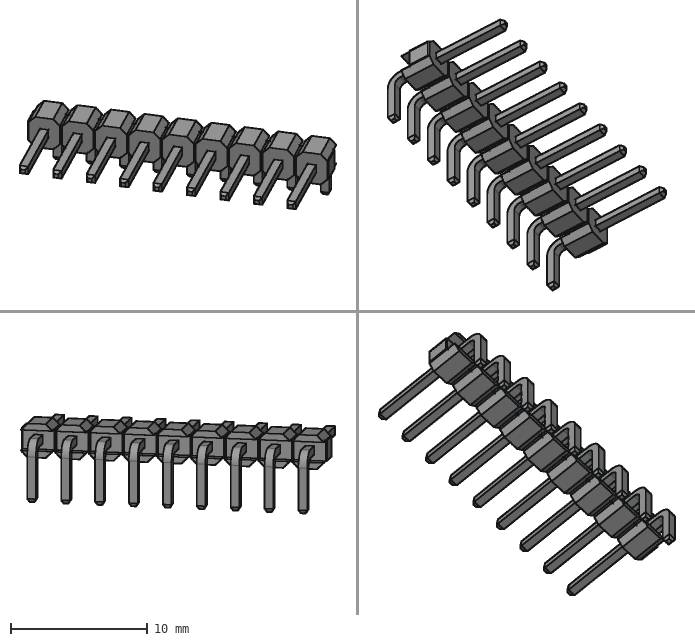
import cadquery as cq

pin_count = 9
pitch = 2.54
strip_length = pin_count * pitch
pin_positions = [(index - (pin_count - 1) / 2) * pitch for index in range(pin_count)]

housing_height = 2.54
housing_depth = 2.54
block_width = 2.37
corner_chamfer = 0.50
side_height = housing_height - 2 * corner_chamfer
channel_depth = 0.72
groove_depth = (pitch - block_width) / 2
groove_bevel = 0.09

pin_width = 0.65
front_length = 6.0
rear_reach = 1.81
drop_below_housing = 3.0
bend_inner_radius = 0.50
bend_radius = bend_inner_radius + pin_width / 2
tip_length = 0.28
tip_inset = pin_width / 4

pin_tip_y = -front_length
pin_leg_y = housing_depth + rear_reach - pin_width / 2
pin_tip_z = -housing_height / 2 - drop_below_housing


def octagonal_block(x):
    """One pin's block, an octagonal prism running along Y."""
    return (
        cq.Workplane("XY")
        .box(block_width, housing_depth, housing_height, centered=(True, False, True))
        .edges("|Y")
        .chamfer(corner_chamfer)
        .translate((x, 0, 0))
    )


def joining_web(x):
    """Full-pitch core that joins a block to its neighbours, bevelled at its four vertical edges."""
    return (
        cq.Workplane("XY")
        .box(pitch, housing_depth - channel_depth, side_height, centered=(True, False, True))
        .edges("|Z")
        .chamfer(groove_bevel, groove_depth)
        .translate((x, 0, 0))
    )


def pin_path(x):
    """Centre line of a pin: along +Y through the housing, then a bend down to the leg."""
    return (
        cq.Workplane("YZ", origin=(x, 0, 0))
        .moveTo(pin_tip_y, 0)
        .lineTo(pin_leg_y - bend_radius, 0)
        .tangentArcPoint((pin_leg_y, -bend_radius), relative=False)
        .lineTo(pin_leg_y, pin_tip_z)
    )


def make_pin(x):
    """Square bent pin with tapered tips at both ends."""
    return (
        cq.Workplane("XZ", origin=(x, pin_tip_y, 0))
        .rect(pin_width, pin_width)
        .sweep(pin_path(x))
        .faces("<Y or <Z")
        .chamfer(tip_length, tip_inset)
    )


def make_housing():
    """Row of joined blocks with a rear channel and a square hole for each pin."""
    body = octagonal_block(pin_positions[0]).union(joining_web(pin_positions[0]))
    for x in pin_positions[1:]:
        body = body.union(octagonal_block(x)).union(joining_web(x))
    channel = (
        cq.Workplane("XY")
        .box(strip_length, channel_depth, side_height, centered=(True, False, True))
        .translate((0, housing_depth - channel_depth, 0))
    )
    pin_holes = (
        cq.Workplane("XZ")
        .pushPoints([(x, 0) for x in pin_positions])
        .rect(pin_width, pin_width)
        .extrude(-housing_depth)
    )
    return body.cut(channel).cut(pin_holes)


housing = make_housing()
pins = [make_pin(x) for x in pin_positions]

result = cq.Compound.makeCompound([housing.val(), *[pin.val() for pin in pins]])